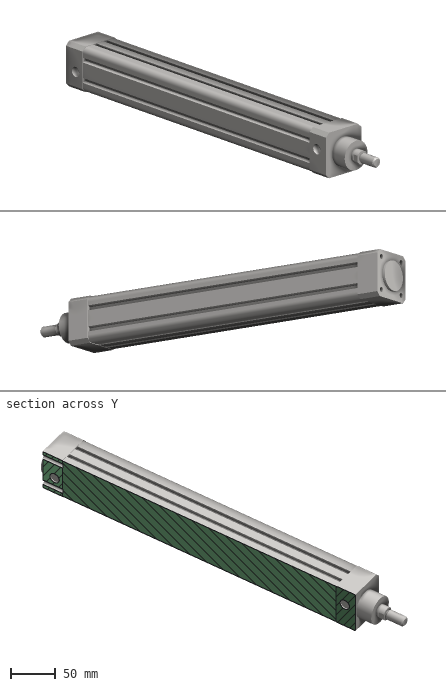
import cadquery as cq
import math

TOTAL_LENGTH = 483.0
CAP_SIDE = 54.0
TUBE_SIDE = 53.0
HALF_TUBE = TUBE_SIDE / 2

REAR_CAP_START = 3.5
TUBE_START = 30.5
TUBE_END = 402.0
FRONT_CAP_END = 428.5
BOSS_END = 448.5
FLATS_START = 452.0
FLATS_END = 459.0
THREAD_START = 460.0

CAP_CHAMFER = 5.0
SPIGOT_DIAMETER = 35.0
BOLT_HOLE_DIAMETER = 6.0
BOLT_HOLE_OFFSET = 19.0
PORT_DIAMETER = 12.0
PORT_DEPTH = 9.5
PORT_OFFSET = 5.0
REAR_PORT_X = 19.5
FRONT_PORT_X = 413.5

TUBE_CORNER_RADIUS = 7.2
SIDE_GROOVE_INNER = 9.0
SIDE_GROOVE_OUTER = 15.0
SIDE_GROOVE_DEPTH = 4.0
SIDE_GROOVE_WALL_ANGLE = 70.0
TOP_GROOVE_INNER = 5.5
TOP_GROOVE_OUTER = 10.5
TOP_GROOVE_DEPTH = 4.0

ROD_DIAMETER = 16.0
ROD_ACROSS_FLATS = 14.0
THREAD_DIAMETER = 12.0
THREAD_CHAMFER = 1.5


def cross_section(x):
    """Workplane across the cylinder axis at x: local x is +Y, local y is +Z."""
    return cq.Workplane("YZ", origin=(x, 0, 0))


def cap_block(start, end):
    """Square block with chamfered long edges."""
    block = cross_section(start).rect(CAP_SIDE, CAP_SIDE).extrude(end - start)
    return block.edges("|X").chamfer(CAP_CHAMFER)


def spigot(start, end):
    """Round centring shoulder of an end cap."""
    return cross_section(start).circle(SPIGOT_DIAMETER / 2).extrude(end - start)


def port(x, z):
    """Blind air port bored into the -Y side."""
    mouth = cq.Workplane("XZ", origin=(x, -CAP_SIDE / 2, z)).circle(PORT_DIAMETER / 2)
    return mouth.extrude(-PORT_DEPTH)


def make_rear_cap():
    cap = cap_block(REAR_CAP_START, TUBE_START).union(spigot(0, REAR_CAP_START))
    bolt_pitch = 2 * BOLT_HOLE_OFFSET
    bolt_holes = (
        cross_section(REAR_CAP_START)
        .rect(bolt_pitch, bolt_pitch, forConstruction=True)
        .vertices()
        .circle(BOLT_HOLE_DIAMETER / 2)
        .extrude(TUBE_START - REAR_CAP_START)
    )
    return cap.cut(bolt_holes).cut(port(REAR_PORT_X, -PORT_OFFSET))


def make_front_cap():
    cap = cap_block(TUBE_END, FRONT_CAP_END).union(spigot(FRONT_CAP_END, BOSS_END))
    return cap.cut(port(FRONT_PORT_X, PORT_OFFSET))


def side_groove():
    """Groove with walls sloping to a narrower floor, in the -Y side above the mid plane."""
    wall_run = SIDE_GROOVE_DEPTH / math.tan(math.radians(SIDE_GROOVE_WALL_ANGLE))
    floor_y = -HALF_TUBE + SIDE_GROOVE_DEPTH
    outline = [
        (-HALF_TUBE, SIDE_GROOVE_INNER),
        (floor_y, SIDE_GROOVE_INNER + wall_run),
        (floor_y, SIDE_GROOVE_OUTER - wall_run),
        (-HALF_TUBE, SIDE_GROOVE_OUTER),
    ]
    return cross_section(TUBE_START).polyline(outline).close().extrude(TUBE_END - TUBE_START)


def top_groove():
    """Rectangular groove in the +Z side, on the +Y half."""
    middle_y = (TOP_GROOVE_INNER + TOP_GROOVE_OUTER) / 2
    width = TOP_GROOVE_OUTER - TOP_GROOVE_INNER
    middle_z = HALF_TUBE - TOP_GROOVE_DEPTH / 2
    section = cross_section(TUBE_START).center(middle_y, middle_z).rect(width, TOP_GROOVE_DEPTH)
    return section.extrude(TUBE_END - TUBE_START)


def make_tube():
    """Extruded tube with two grooves in each of its four sides."""
    tube = cross_section(TUBE_START).rect(TUBE_SIDE, TUBE_SIDE).extrude(TUBE_END - TUBE_START)
    tube = tube.edges("|X").fillet(TUBE_CORNER_RADIUS)
    for groove in (side_groove(), top_groove()):
        pair = groove.union(groove.mirror("XZ"))
        tube = tube.cut(pair).cut(pair.mirror("XY"))
    return tube


def make_rod():
    """Rod end: shoulder with two wrench flats, undercut and chamfered thread."""
    rod_radius = ROD_DIAMETER / 2
    thread_radius = THREAD_DIAMETER / 2
    undercut_radius = thread_radius - THREAD_CHAMFER
    half_outline = [
        (BOSS_END, 0),
        (BOSS_END, rod_radius),
        (FLATS_END, rod_radius),
        (FLATS_END, undercut_radius),
        (THREAD_START, undercut_radius),
        (THREAD_START + THREAD_CHAMFER, thread_radius),
        (TOTAL_LENGTH - THREAD_CHAMFER, thread_radius),
        (TOTAL_LENGTH, undercut_radius),
        (TOTAL_LENGTH, 0),
    ]
    rod = cq.Workplane("XZ").polyline(half_outline).close().revolve(360, (0, 0, 0), (1, 0, 0))
    flats_length = FLATS_END - FLATS_START
    ring = cross_section(FLATS_START).circle(ROD_DIAMETER).rect(ROD_ACROSS_FLATS, ROD_DIAMETER)
    return rod.cut(ring.extrude(flats_length))


rear_cap = make_rear_cap()
tube = make_tube()
front_cap = make_front_cap()
rod = make_rod()

result = cq.Compound.makeCompound([rear_cap.val(), tube.val(), front_cap.val(), rod.val()])